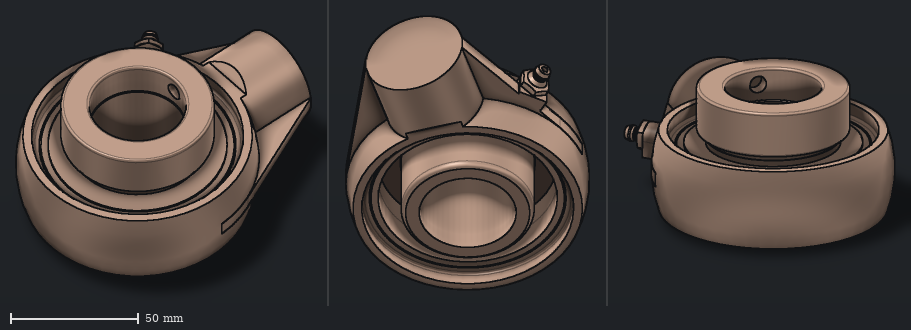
import cadquery as cq
import math

hub_radius = 47.905
hub_half_height = 16.3
counterbore_diameter = 83.19
counterbore_fillet = 1.1
seat_diameter = 80.0
ring_half_width = 10.6

shank_diameter = 39.66
shank_end_y = 72.715
shank_slope_start_y = 46.5

web_thickness = 5.8
web_end_y = 2.75
web_rim_height = 0.03

boss_width = 12.0
boss_axis_z = 4.0
boss_end = 54.6
fitting_angle = 135

outer_ring_bore = 70.36
outer_ring_chamfer = 0.6
bore_diameter = 38.1
inner_ring_diameter = 52.39
inner_ring_end_diameter = 48.77
inner_ring_end_round = 3.0
inner_ring_bottom_z = -18.85
inner_ring_top_z = 21.5
inner_ring_top_chamfer = 0.8
shoulder_diameter = 53.15
shoulder_top_z = 13.7
seal_outer_z = 11.35
seal_inner_z = 11.25
seal_bottom_z = 9.5

collar_diameter = 60.3
collar_bottom_z = 16.4
collar_top_z = 35.03
collar_fillet = 1.0
screw_diameter = 6.78
screw_z = 28.3
screw_inner_y = 25.0
screw_outer_y = 31.25

hex_across_flats = 11.11
hex_height = 3.3
hex_chamfer_angle = 25
cone_base_diameter = 8.6
cone_top_diameter = 5.4
cone_height = 1.6
neck_diameter = 4.6
neck_height = 0.9
head_back_diameter = 5.2
head_diameter = 6.5
head_flare_height = 1.0
head_straight_height = 0.8
head_taper_height = 2.0
head_tip_diameter = 5.2
grease_hole_diameter = 2.51
grease_hole_depth = 2.0

web_radius = hub_radius + web_rim_height
shank_radius = shank_diameter / 2
bore_radius = bore_diameter / 2
inner_ring_radius = inner_ring_diameter / 2
inner_ring_end_radius = inner_ring_end_diameter / 2
end_round_run = inner_ring_radius - inner_ring_end_radius
end_round_height = math.sqrt(inner_ring_end_round**2 - (inner_ring_end_round - end_round_run) ** 2)
shoulder_radius = shoulder_diameter / 2
outer_ring_bore_radius = outer_ring_bore / 2
seat_radius = seat_diameter / 2


def spherical_slab(radius, half_height):
    """Ball centred on the origin, cut flat at +/- half_height."""
    edge_radius = math.sqrt(radius**2 - half_height**2)
    return (
        cq.Workplane("XZ")
        .moveTo(0, -half_height)
        .lineTo(edge_radius, -half_height)
        .threePointArc((radius, 0), (edge_radius, half_height))
        .lineTo(0, half_height)
        .close()
        .revolve(360, (0, 0, 0), (0, 1, 0))
    )


def along_fitting_axis(shape):
    """Turn a shape from the +X axis to the grease axis, at the boss height."""
    return shape.rotate((0, 0, 0), (0, 0, 1), fitting_angle).translate((0, 0, boss_axis_z))


def shank():
    """Cylinder along Y whose inner end is cut at 45 degrees down to the hub faces."""
    slope_end_y = shank_slope_start_y + shank_radius - hub_half_height
    side = (
        cq.Workplane("YZ")
        .moveTo(0, -hub_half_height)
        .lineTo(shank_slope_start_y, -hub_half_height)
        .lineTo(slope_end_y, -shank_radius)
        .lineTo(shank_end_y, -shank_radius)
        .lineTo(shank_end_y, shank_radius)
        .lineTo(slope_end_y, shank_radius)
        .lineTo(shank_slope_start_y, hub_half_height)
        .lineTo(0, hub_half_height)
        .close()
        .extrude(shank_radius, both=True)
    )
    cylinder = cq.Workplane("XZ").circle(shank_radius).extrude(-shank_end_y)
    return cylinder.intersect(side)


def web():
    """Plate whose straight edges run from the shank end tangent onto the hub."""
    corner_distance = math.hypot(shank_radius, shank_end_y)
    corner_angle = math.atan2(shank_end_y, shank_radius)
    tangent_angle = corner_angle - math.acos(web_radius / corner_distance)
    tangent_x = web_radius * math.cos(tangent_angle)
    tangent_y = web_radius * math.sin(tangent_angle)
    end_angle = math.asin(web_end_y / web_radius)
    end_x = web_radius * math.cos(end_angle)
    middle_angle = (tangent_angle + end_angle) / 2
    middle_x = web_radius * math.cos(middle_angle)
    middle_y = web_radius * math.sin(middle_angle)
    return (
        cq.Workplane("XY", origin=(0, 0, -web_thickness / 2))
        .moveTo(end_x, web_end_y)
        .threePointArc((middle_x, middle_y), (tangent_x, tangent_y))
        .lineTo(shank_radius, shank_end_y)
        .lineTo(-shank_radius, shank_end_y)
        .lineTo(-tangent_x, tangent_y)
        .threePointArc((-middle_x, middle_y), (-end_x, web_end_y))
        .close()
        .extrude(web_thickness)
    )


def grease_boss():
    """Boss with a round top and flat sides that go down to the web's lower face."""
    skirt_height = boss_axis_z + web_thickness / 2
    round_top = cq.Workplane("YZ").circle(boss_width / 2).extrude(boss_end)
    skirt = cq.Workplane("XY").box(boss_end, boss_width, skirt_height, centered=(False, True, False))
    return along_fitting_axis(round_top.union(skirt.translate((0, 0, -skirt_height))))


def housing_cavity():
    """Spherical seat for the bearing with a filleted counterbore on both sides."""
    depth = hub_half_height - ring_half_width
    counterbore = (
        cq.Workplane("XY", origin=(0, 0, ring_half_width))
        .circle(counterbore_diameter / 2)
        .extrude(depth)
        .faces("<Z")
        .edges()
        .fillet(counterbore_fillet)
    )
    return spherical_slab(seat_radius, ring_half_width).union(counterbore).union(counterbore.mirror("XY"))


housing = (
    spherical_slab(hub_radius, hub_half_height)
    .union(shank())
    .union(web())
    .union(grease_boss())
    .cut(housing_cavity())
)

outer_ring = (
    spherical_slab(seat_radius, ring_half_width)
    .faces("<Z or >Z")
    .edges()
    .chamfer(outer_ring_chamfer)
    .cut(cq.Workplane("XY").circle(outer_ring_bore_radius).extrude(ring_half_width, both=True))
)

inner_ring = (
    cq.Workplane("XZ")
    .moveTo(bore_radius, inner_ring_bottom_z)
    .lineTo(inner_ring_end_radius, inner_ring_bottom_z)
    .radiusArc((inner_ring_radius, inner_ring_bottom_z + end_round_height), -inner_ring_end_round)
    .lineTo(inner_ring_radius, seal_bottom_z)
    .lineTo(shoulder_radius, seal_bottom_z)
    .lineTo(shoulder_radius, shoulder_top_z)
    .lineTo(inner_ring_radius, shoulder_top_z)
    .lineTo(inner_ring_radius, inner_ring_top_z)
    .lineTo(bore_radius + inner_ring_top_chamfer, inner_ring_top_z)
    .lineTo(bore_radius, inner_ring_top_z - inner_ring_top_chamfer)
    .close()
    .revolve(360, (0, 0, 0), (0, 1, 0))
)

seal = (
    cq.Workplane("XZ")
    .moveTo(shoulder_radius, seal_bottom_z)
    .lineTo(outer_ring_bore_radius, seal_bottom_z)
    .lineTo(outer_ring_bore_radius, seal_outer_z)
    .lineTo(shoulder_radius, seal_inner_z)
    .close()
    .revolve(360, (0, 0, 0), (0, 1, 0))
)

screw_hole = (
    cq.Workplane("XZ", origin=(0, 0, screw_z)).circle(screw_diameter / 2).extrude(-collar_diameter / 2)
)

collar = (
    cq.Workplane("XY", origin=(0, 0, collar_bottom_z))
    .circle(collar_diameter / 2)
    .circle(bore_radius)
    .extrude(collar_top_z - collar_bottom_z)
    .faces("<Z or >Z")
    .edges()
    .fillet(collar_fillet)
    .cut(cq.Workplane("XY").circle(inner_ring_radius).extrude(inner_ring_top_z))
    .cut(screw_hole)
)

set_screw = (
    cq.Workplane("XZ", origin=(0, screw_inner_y, screw_z))
    .circle(screw_diameter / 2)
    .extrude(screw_inner_y - screw_outer_y)
)


def fitting_hex():
    """Hexagon with a vertex at the top and its outer face coned down to the nipple."""
    corner_radius = hex_across_flats / math.sqrt(3)
    cone_base_radius = cone_base_diameter / 2
    slope = math.tan(math.radians(hex_chamfer_angle))
    chamfer_height = (corner_radius - cone_base_radius) * slope
    prism = cq.Workplane("YZ").polygon(6, 2 * corner_radius).extrude(hex_height)
    prism = prism.rotate((0, 0, 0), (1, 0, 0), 90)
    chamfer_cone = (
        cq.Workplane("XY")
        .moveTo(0, 0)
        .lineTo(0, corner_radius)
        .lineTo(hex_height - chamfer_height, corner_radius)
        .lineTo(hex_height, cone_base_radius)
        .lineTo(hex_height, 0)
        .close()
        .revolve(360, (0, 0, 0), (1, 0, 0))
    )
    return prism.intersect(chamfer_cone)


def fitting_nipple():
    """Cone, neck and flared head, with the grease hole in the tip."""
    cone_end = hex_height + cone_height
    neck_end = cone_end + neck_height
    flare_end = neck_end + head_flare_height
    straight_end = flare_end + head_straight_height
    tip = straight_end + head_taper_height
    nipple = (
        cq.Workplane("XY")
        .moveTo(0, 0)
        .lineTo(0, cone_base_diameter / 2)
        .lineTo(hex_height, cone_base_diameter / 2)
        .lineTo(cone_end, cone_top_diameter / 2)
        .lineTo(cone_end, neck_diameter / 2)
        .lineTo(neck_end, neck_diameter / 2)
        .lineTo(neck_end, head_back_diameter / 2)
        .lineTo(flare_end, head_diameter / 2)
        .lineTo(straight_end, head_diameter / 2)
        .lineTo(tip, head_tip_diameter / 2)
        .lineTo(tip, 0)
        .close()
        .revolve(360, (0, 0, 0), (1, 0, 0))
    )
    hole = (
        cq.Workplane("YZ", origin=(tip, 0, 0))
        .circle(grease_hole_diameter / 2)
        .extrude(-grease_hole_depth)
    )
    return nipple.cut(hole)


grease_fitting = along_fitting_axis(fitting_hex().union(fitting_nipple()).translate((boss_end, 0, 0)))

result = cq.Compound.makeCompound(
    [
        housing.val(),
        outer_ring.val(),
        inner_ring.val(),
        seal.val(),
        collar.val(),
        set_screw.val(),
        grease_fitting.val(),
    ]
)